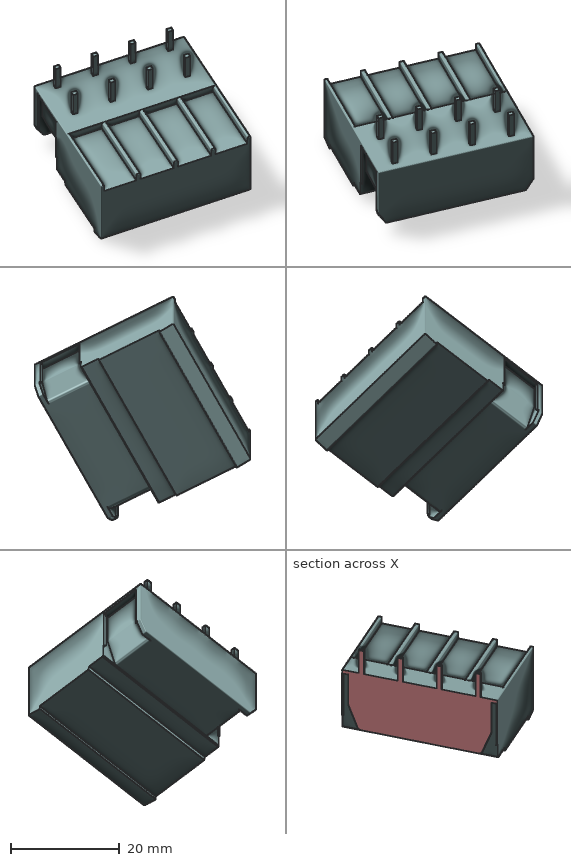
import cadquery as cq
import math

LENGTH = 29.0
WIDTH = 30.48
TOTAL_HEIGHT = 19.3
HALF_WIDTH = WIDTH / 2
OVERSIZE = 1.52

POSITIONS = 4
PITCH = WIDTH / POSITIONS

PIN_LENGTH = 5.0
PIN_SIZE_X = 0.82
PIN_SIZE_Y = 1.0
PIN_ROW_XS = (1.92, 9.42)

TOP_Z = TOTAL_HEIGHT - PIN_LENGTH
EDGE_RADIUS = 0.2
HEAD_BOTTOM_Z = 1.77
MID_BOTTOM_Z = 1.52
BASE_Z = 0.8
HEAD_END_X = 9.72
MID_START_X = 9.9
MID_END_X = 13.32
BASE_START_X = 13.5
HOOK_X = 26.03
HOOK_FLAT = 0.3
HOOK_HEEL_Z = 0.67

END_BLOCK_LENGTH = 4.88
BEVEL_WIDTH = 1.52
BEVEL_HEIGHT = 2.38

POCKET_TOP_Z = 13.4
POCKET_DEPTH = 1.2
LIP_X0 = 1.55
LIP_RADIUS = 0.27
SLOPE_START_Z = 6.83
SLOPE_ANGLE = 21.5
SLOPE_TOP_RADIUS = 0.5
SLOPE_BOTTOM_RADIUS = 0.75
MOUTH_X0 = 1.05
MOUTH_TOP_Z = 4.4

RECESS_X = 14.05
RECESS_DEPTH = 1.5
RIB_WIDTH = 0.88
RIB_RADIUS = 0.3
OUTER_RIB_WIDTH = 0.7


def make_end_block():
    """The -X end of the head, with bevelled lower corners and all outer edges rounded."""
    bevel_top_z = HEAD_BOTTOM_Z + BEVEL_HEIGHT
    bevel_y = HALF_WIDTH - BEVEL_WIDTH
    outline = [
        (-HALF_WIDTH, TOP_Z),
        (-HALF_WIDTH, bevel_top_z),
        (-bevel_y, HEAD_BOTTOM_Z),
        (bevel_y, HEAD_BOTTOM_Z),
        (HALF_WIDTH, bevel_top_z),
        (HALF_WIDTH, TOP_Z),
    ]
    block = cq.Workplane("YZ").polyline(outline).close().extrude(END_BLOCK_LENGTH)
    return block.edges("<X or |X").fillet(EDGE_RADIUS)


def make_main_block():
    """Rest of the housing: extruded side profile with rounded top edges and back corners."""
    profile = [
        (END_BLOCK_LENGTH, TOP_Z),
        (END_BLOCK_LENGTH, HEAD_BOTTOM_Z),
        (HEAD_END_X, HEAD_BOTTOM_Z),
        (MID_START_X, MID_BOTTOM_Z),
        (MID_END_X, MID_BOTTOM_Z),
        (BASE_START_X, BASE_Z),
        (HOOK_X, BASE_Z),
        (HOOK_X, 0),
        (HOOK_X + HOOK_FLAT, 0),
        (LENGTH, HOOK_HEEL_Z),
        (LENGTH, TOP_Z),
    ]
    block = cq.Workplane("XZ").polyline(profile).close().extrude(HALF_WIDTH, both=True)
    top_edges = block.faces(">Z").edges("not <X")
    back_corner_edges = block.faces(">X").edges("|Z")
    return top_edges.add(back_corner_edges).fillet(EDGE_RADIUS)


def make_pocket():
    """Cutting body for the pocket in the -Y side: flat back above, sloping away below."""
    slope_run = (SLOPE_START_Z - HEAD_BOTTOM_Z) * math.tan(math.radians(SLOPE_ANGLE))
    outer_y = -HALF_WIDTH - OVERSIZE
    back_y = -HALF_WIDTH + POCKET_DEPTH
    slope_end_y = back_y + slope_run
    middle_x = (MOUTH_X0 + HEAD_END_X) / 2

    cavity = (
        cq.Workplane("YZ", origin=(MOUTH_X0, 0, 0))
        .moveTo(outer_y, POCKET_TOP_Z)
        .lineTo(back_y, POCKET_TOP_Z)
        .lineTo(back_y, SLOPE_START_Z)
        .lineTo(slope_end_y, HEAD_BOTTOM_Z)
        .lineTo(slope_end_y + OVERSIZE, HEAD_BOTTOM_Z)
        .lineTo(slope_end_y + OVERSIZE, HEAD_BOTTOM_Z - OVERSIZE)
        .lineTo(outer_y, HEAD_BOTTOM_Z - OVERSIZE)
        .close()
        .extrude(HEAD_END_X - MOUTH_X0)
    )
    cavity = (
        cavity.edges(cq.NearestToPointSelector((middle_x, back_y, SLOPE_START_Z)))
        .fillet(SLOPE_TOP_RADIUS)
        .edges(cq.NearestToPointSelector((middle_x, slope_end_y, HEAD_BOTTOM_Z)))
        .fillet(SLOPE_BOTTOM_RADIUS)
    )

    lip_y = -HALF_WIDTH + LIP_RADIUS
    left_lip = (
        cq.Workplane("XY", origin=(0, 0, MOUTH_TOP_Z))
        .moveTo(MOUTH_X0, lip_y)
        .lineTo(LIP_X0, lip_y)
        .radiusArc((LIP_X0 - LIP_RADIUS, -HALF_WIDTH), -LIP_RADIUS)
        .lineTo(LIP_X0 - LIP_RADIUS, outer_y)
        .lineTo(MOUTH_X0, outer_y)
        .close()
        .extrude(POCKET_TOP_Z - MOUTH_TOP_Z)
    )
    right_lip = left_lip.mirror("YZ").translate((MOUTH_X0 + HEAD_END_X, 0, 0))
    return cavity.cut(left_lip).cut(right_lip)


def make_recess(y_start, y_end):
    """Cutting body for one top recess; its long upper edges flare out as the rib rounding."""
    shoulder_z = TOP_Z - RIB_RADIUS
    floor_z = TOP_Z - RECESS_DEPTH
    return (
        cq.Workplane("YZ", origin=(RECESS_X, 0, 0))
        .moveTo(y_start - RIB_RADIUS, TOP_Z)
        .radiusArc((y_start, shoulder_z), RIB_RADIUS)
        .lineTo(y_start, floor_z)
        .lineTo(y_end, floor_z)
        .lineTo(y_end, shoulder_z)
        .radiusArc((y_end + RIB_RADIUS, TOP_Z), RIB_RADIUS)
        .close()
        .extrude(LENGTH - RECESS_X)
    )


result = make_end_block().union(make_main_block())

pocket = make_pocket()
result = result.cut(pocket).cut(pocket.mirror("XZ"))

for position in range(POSITIONS):
    low_rib = OUTER_RIB_WIDTH if position == 0 else RIB_WIDTH / 2
    high_rib = OUTER_RIB_WIDTH if position == POSITIONS - 1 else RIB_WIDTH / 2
    low_y = position * PITCH - HALF_WIDTH
    result = result.cut(make_recess(low_y + low_rib, low_y + PITCH - high_rib))

for x in PIN_ROW_XS:
    for position in range(POSITIONS):
        y = (position + 0.5) * PITCH - HALF_WIDTH
        pin = (
            cq.Workplane("XY", origin=(x, y, TOP_Z - EDGE_RADIUS))
            .rect(PIN_SIZE_X, PIN_SIZE_Y)
            .extrude(PIN_LENGTH + EDGE_RADIUS)
        )
        result = result.union(pin)